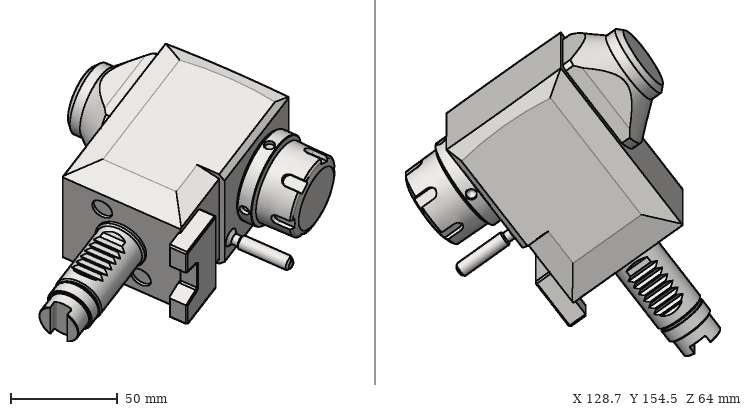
import cadquery as cq
import math

BODY_HALF_X = 32.0
BODY_HALF_Z = 32.0
BODY_BACK_Y = 96.0
STEP_OUT = 3.0
STEP_START_Y = 36.0
SIDE_BEVEL_RUN = 12.0
SIDE_BEVEL_ANGLE = 15
FRONT_BEVEL_RUN = 16.7
FRONT_BEVEL_ANGLE = 11.5
BACK_ARC_RADIUS = 166.9
BACK_ARC_CENTRE_X = 6.0
BACK_ARC_PEAK_Y = 90.0
BACK_BEVEL_ANGLE = 18

SPINDLE_Y = 70.0
PAD_X = BODY_HALF_X + STEP_OUT

CAP_END_X = -60.9
CAP_NOSE_RADIUS = 18.4
CAP_NOSE_CHAMFER = 2.8
CAP_CONE_X = -52.7
CAP_RIM_X = -36.5
CAP_RIM_RADIUS = 32.0
CAP_HALF_Z = 23.2
CAP_TAPER_X = -39.1
CAP_TAPER_ANGLE = 15
CAP_TOP_Y = 94.5
CAP_CORNER = 2.3

NECK_RADIUS = 22.5
COLLAR_X = 35.7
COLLAR_END_X = 43.4
COLLAR_RADIUS = 23.5
COLLAR_CHAMFER = 0.3
GROOVE_RADIUS = 16.7
NUT_X = 44.5
NUT_END_X = 64.9
NUT_RADIUS = 21.2
NUT_RIM_X = 62.5
NUT_RIM_RADIUS = 20.9
NUT_LIP_X = 63.5
NUT_LIP_RADIUS = 19.8
NUT_FACE_RADIUS = 16.4
NUT_SLOT_COUNT = 6
NUT_SLOT_WIDTH = 6.0
NUT_SLOT_FLOOR_RADIUS = 18.4
NUT_SLOT_START_X = 52.7
SET_SCREW_COUNT = 4
SET_SCREW_RADIUS = 2.6
SET_SCREW_DEPTH = 2.3

PIN_Y = 41.7
PIN_Z = -17.1
PIN_RADIUS = 3.5
PIN_BASE_RADIUS = 4.6
PIN_NECK_RADIUS = 2.6
PIN_NECK_X = 36.8
PIN_BODY_X = 40.2
PIN_END_X = 67.8
PIN_TIP_CHAMFER = 1.1
PIN_BEVEL = 2.3
PIN_OUTLET_RADIUS = 1.0
PIN_OUTLET_DEPTH = 3.1
PIN_CHAMFER = 0.8

FORK_X = 31.2
FORK_END_X = 41.1
FORK_TOP_Y = 18.0
FORK_TIP_Y = -9.5
FORK_HALF_Z = 25.8
FORK_GAP_TIP = 11.6
FORK_GAP_ROOT = 9.6
FORK_WEB_Y = 0.5
FORK_CORNER = 1.0
FORK_CHAMFER = 0.6

SHANK_RADIUS = 12.5
SHANK_END_Y = -58.5
SHANK_FLANGE_RADIUS = 13.5
SHANK_FLANGE_Y = -1.4
SHANK_FLANGE_CHAMFER = 1.0
SHANK_LAND_Y = -40.8
SHANK_CHAMFER = 0.8
SHANK_GROOVE_RADIUS = 11.1
SHANK_GROOVE_WIDTH = 1.4
RING_RADIUS = 12.0
RING_END_Y = -48.7
RING_CHAMFER = 0.5
TANG_RADIUS = 10.7
TANG_CHAMFER = 0.3
TANG_SLOT_WIDTH = 9.3
TANG_SLOT_DEPTH = 4.2
TANG_SLOT_FILLET = 0.6
RACK_HEIGHT = 11.0
RACK_START_Y = -6.8
RACK_END_Y = -34.1
RACK_TOOTH_COUNT = 6
RACK_PITCH = 4.0
RACK_FIRST_ROOT_Y = -11.6
RACK_TOOTH_DEPTH = 1.7
RACK_OVERSHOOT = 0.8

FACE_HOLE_X = 10.5
FACE_HOLE_Z = 18.2
FACE_HOLE_RADIUS = 5.4
FACE_HOLE_DEPTH = 1.5

CLEAR = 7.7


def tan_deg(angle):
    return math.tan(math.radians(angle))


def along_x(points, y, z=0):
    """Turn an (x, radius) outline about the line through (y, z) along X."""
    turned = cq.Workplane("XY").polyline(points).close().revolve(360, (0, 0, 0), (1, 0, 0))
    return turned.translate((0, y, z))


def prism_x(points, start_x, end_x):
    """Extrude a (y, z) outline from start_x to end_x."""
    return cq.Workplane("YZ", origin=(start_x, 0, 0)).polyline(points).close().extrude(end_x - start_x)


def prism_y(points, start_y, end_y):
    """Extrude an (x, z) outline from start_y to end_y."""
    return cq.Workplane("XZ", origin=(0, start_y, 0)).polyline(points).close().extrude(start_y - end_y)


def on_both_z_sides(shape):
    return shape.union(shape.mirror("XY"))


def bevel_outline(edge, outward, run, angle):
    """Outline of the wedge removed from a top edge at 'edge'; 'outward' is +1 or -1."""
    slope = tan_deg(angle)
    inner = edge - outward * run
    outer = edge + outward * CLEAR
    return [
        (inner, BODY_HALF_Z),
        (outer, BODY_HALF_Z - (run + CLEAR) * slope),
        (outer, BODY_HALF_Z + CLEAR),
        (inner, BODY_HALF_Z + CLEAR),
    ]


def back_bevel_envelope():
    """Double cone about a Z axis whose flanks bevel the top and bottom back edges."""
    waist = BACK_ARC_RADIUS + BODY_HALF_Z / tan_deg(BACK_BEVEL_ANGLE)
    outline = [
        (0, -BODY_HALF_Z),
        (BACK_ARC_RADIUS, -BODY_HALF_Z),
        (waist, 0),
        (BACK_ARC_RADIUS, BODY_HALF_Z),
        (0, BODY_HALF_Z),
    ]
    cone = cq.Workplane("XZ").polyline(outline).close().revolve(360, (0, 0, 0), (0, 1, 0))
    return cone.translate((BACK_ARC_CENTRE_X, BACK_ARC_PEAK_Y - BACK_ARC_RADIUS, 0))


def housing():
    block = cq.Workplane("XY").box(
        2 * BODY_HALF_X, BODY_BACK_Y, 2 * BODY_HALF_Z, centered=(True, False, True)
    )
    pad = prism_y(
        [
            (0, -BODY_HALF_Z),
            (BODY_HALF_X, -BODY_HALF_Z),
            (PAD_X, STEP_OUT - BODY_HALF_Z),
            (PAD_X, BODY_HALF_Z - STEP_OUT),
            (BODY_HALF_X, BODY_HALF_Z),
            (0, BODY_HALF_Z),
        ],
        STEP_START_Y,
        BODY_BACK_Y,
    )
    left = prism_y(
        bevel_outline(-BODY_HALF_X, -1, SIDE_BEVEL_RUN, SIDE_BEVEL_ANGLE), -CLEAR, BODY_BACK_Y + CLEAR
    )
    right = prism_y(bevel_outline(BODY_HALF_X, 1, SIDE_BEVEL_RUN, SIDE_BEVEL_ANGLE), -CLEAR, STEP_START_Y)
    front = prism_x(bevel_outline(0, -1, FRONT_BEVEL_RUN, FRONT_BEVEL_ANGLE), -PAD_X - CLEAR, PAD_X + CLEAR)
    body = block.union(pad)
    for bevel in (left, right, front):
        body = body.cut(on_both_z_sides(bevel))
    return body.intersect(back_bevel_envelope())


def face_holes():
    spots = [(-FACE_HOLE_X, FACE_HOLE_Z), (FACE_HOLE_X, -FACE_HOLE_Z)]
    return cq.Workplane("XZ").pushPoints(spots).circle(FACE_HOLE_RADIUS).extrude(-FACE_HOLE_DEPTH)


def cap():
    hood = along_x(
        [
            (CAP_CONE_X, 0),
            (CAP_CONE_X, CAP_NOSE_RADIUS),
            (CAP_RIM_X, CAP_RIM_RADIUS),
            (-BODY_HALF_X, CAP_RIM_RADIUS),
            (-BODY_HALF_X, 0),
        ],
        SPINDLE_Y,
    )
    low_y = SPINDLE_Y - CAP_RIM_RADIUS - CLEAR
    section = prism_x(
        [
            (low_y, -CAP_HALF_Z),
            (CAP_TOP_Y - CAP_CORNER, -CAP_HALF_Z),
            (CAP_TOP_Y, CAP_CORNER - CAP_HALF_Z),
            (CAP_TOP_Y, CAP_HALF_Z - CAP_CORNER),
            (CAP_TOP_Y - CAP_CORNER, CAP_HALF_Z),
            (low_y, CAP_HALF_Z),
        ],
        CAP_CONE_X,
        -BODY_HALF_X,
    )
    tip_half_z = CAP_HALF_Z - (CAP_TAPER_X - CAP_CONE_X) * tan_deg(CAP_TAPER_ANGLE)
    taper = prism_y(
        [
            (CAP_CONE_X, -tip_half_z),
            (CAP_TAPER_X, -CAP_HALF_Z),
            (-BODY_HALF_X, -CAP_HALF_Z),
            (-BODY_HALF_X, CAP_HALF_Z),
            (CAP_TAPER_X, CAP_HALF_Z),
            (CAP_CONE_X, tip_half_z),
        ],
        low_y,
        BODY_BACK_Y,
    )
    nose = along_x(
        [
            (CAP_END_X, 0),
            (CAP_END_X, CAP_NOSE_RADIUS - CAP_NOSE_CHAMFER),
            (CAP_END_X + CAP_NOSE_CHAMFER, CAP_NOSE_RADIUS),
            (CAP_CONE_X, CAP_NOSE_RADIUS),
            (CAP_CONE_X, 0),
        ],
        SPINDLE_Y,
    )
    return hood.intersect(section).intersect(taper).union(nose)


def nut_slots():
    half_width = NUT_SLOT_WIDTH / 2
    slot = (
        cq.Workplane("XY", origin=(0, 0, NUT_SLOT_FLOOR_RADIUS))
        .moveTo(NUT_END_X + CLEAR, -half_width)
        .lineTo(NUT_SLOT_START_X + half_width, -half_width)
        .threePointArc((NUT_SLOT_START_X, 0), (NUT_SLOT_START_X + half_width, half_width))
        .lineTo(NUT_END_X + CLEAR, half_width)
        .close()
        .extrude(CLEAR)
    )
    slots = cq.Workplane("XY")
    for index in range(NUT_SLOT_COUNT):
        slots = slots.add(slot.rotate((0, 0, 0), (1, 0, 0), 90 + index * 360 / NUT_SLOT_COUNT))
    return slots.translate((0, SPINDLE_Y, 0))


def set_screw_holes():
    floor = COLLAR_RADIUS - SET_SCREW_DEPTH
    middle_x = (COLLAR_X + COLLAR_END_X) / 2
    hole = (
        cq.Workplane("XZ")
        .polyline(
            [
                (0, floor - SET_SCREW_RADIUS),
                (SET_SCREW_RADIUS, floor),
                (SET_SCREW_RADIUS, COLLAR_RADIUS + CLEAR),
                (0, COLLAR_RADIUS + CLEAR),
            ]
        )
        .close()
        .revolve(360, (0, 0, 0), (0, 1, 0))
    )
    holes = cq.Workplane("XY")
    for index in range(SET_SCREW_COUNT):
        holes = holes.add(hole.rotate((0, 0, 0), (1, 0, 0), index * 360 / SET_SCREW_COUNT))
    return holes.translate((middle_x, SPINDLE_Y, 0))


def spindle():
    turned = along_x(
        [
            (0, 0),
            (0, NECK_RADIUS),
            (COLLAR_X, NECK_RADIUS),
            (COLLAR_X, COLLAR_RADIUS - COLLAR_CHAMFER),
            (COLLAR_X + COLLAR_CHAMFER, COLLAR_RADIUS),
            (COLLAR_END_X - COLLAR_CHAMFER, COLLAR_RADIUS),
            (COLLAR_END_X, COLLAR_RADIUS - COLLAR_CHAMFER),
            (COLLAR_END_X, GROOVE_RADIUS),
            (NUT_X, GROOVE_RADIUS),
            (NUT_X, NUT_RADIUS),
            (NUT_RIM_X, NUT_RIM_RADIUS),
            (NUT_LIP_X, NUT_LIP_RADIUS),
            (NUT_END_X, NUT_FACE_RADIUS),
            (NUT_END_X, 0),
        ],
        SPINDLE_Y,
    )
    for cutter in nut_slots().vals() + set_screw_holes().vals():
        turned = turned.cut(cq.Workplane(cutter))
    return turned


def pin():
    turned = along_x(
        [
            (0, 0),
            (0, PIN_BASE_RADIUS),
            (PAD_X, PIN_BASE_RADIUS),
            (PIN_NECK_X, PIN_NECK_RADIUS),
            (PIN_BODY_X, PIN_NECK_RADIUS),
            (PIN_BODY_X + PIN_CHAMFER, PIN_RADIUS),
            (PIN_END_X - PIN_TIP_CHAMFER, PIN_RADIUS),
            (PIN_END_X, PIN_RADIUS - PIN_TIP_CHAMFER),
            (PIN_END_X, 0),
        ],
        0,
    )
    bevel = (
        cq.Workplane("XY")
        .moveTo(PIN_END_X - PIN_BEVEL, PIN_RADIUS)
        .lineTo(PIN_END_X, PIN_RADIUS)
        .lineTo(PIN_END_X, PIN_RADIUS - PIN_BEVEL)
        .close()
        .extrude(PIN_RADIUS, both=True)
    )
    half_bevel = PIN_BEVEL / 2
    outlet_plane = cq.Plane(
        origin=(PIN_END_X - half_bevel, PIN_RADIUS - half_bevel, 0), xDir=(0, 0, 1), normal=(-1, -1, 0)
    )
    outlet = cq.Workplane(outlet_plane).circle(PIN_OUTLET_RADIUS).extrude(PIN_OUTLET_DEPTH)
    tipped = turned.cut(bevel).cut(outlet)
    aim = math.degrees(math.atan2(-PIN_Z, SPINDLE_Y - PIN_Y))
    return tipped.rotate((0, 0, 0), (1, 0, 0), aim).translate((0, PIN_Y, PIN_Z))


def fork():
    root_y = FORK_WEB_Y - FORK_CORNER
    web_half_z = FORK_GAP_ROOT - FORK_CORNER
    plate = prism_x(
        [
            (FORK_TOP_Y, -FORK_HALF_Z),
            (FORK_TOP_Y, FORK_HALF_Z),
            (FORK_TIP_Y, FORK_HALF_Z),
            (FORK_TIP_Y, FORK_GAP_TIP),
            (root_y, FORK_GAP_ROOT),
            (FORK_WEB_Y, web_half_z),
            (FORK_WEB_Y, -web_half_z),
            (root_y, -FORK_GAP_ROOT),
            (FORK_TIP_Y, -FORK_GAP_TIP),
            (FORK_TIP_Y, -FORK_HALF_Z),
        ],
        FORK_X,
        FORK_END_X,
    )
    plate = plate.edges("|X and (>Z or <Z)").chamfer(FORK_CORNER)
    plate = plate.faces(">X").chamfer(FORK_CHAMFER)
    return plate.faces("<X").edges("|Z and <Y").chamfer(FORK_CHAMFER)


def rack_cut():
    """Flat with sloped ends and V grooves, taken off the +Z side of the shank."""
    height = SHANK_RADIUS + RACK_OVERSHOOT
    rise = height - RACK_HEIGHT
    cutter = prism_x(
        [
            (RACK_START_Y, RACK_HEIGHT),
            (RACK_END_Y, RACK_HEIGHT),
            (RACK_END_Y - rise, height),
            (RACK_START_Y + rise, height),
        ],
        -SHANK_RADIUS,
        SHANK_RADIUS,
    )
    for index in range(RACK_TOOTH_COUNT):
        root_y = RACK_FIRST_ROOT_Y - index * RACK_PITCH
        groove = prism_x(
            [
                (root_y, RACK_HEIGHT - RACK_TOOTH_DEPTH),
                (root_y + RACK_TOOTH_DEPTH, RACK_HEIGHT),
                (root_y - RACK_TOOTH_DEPTH, RACK_HEIGHT),
            ],
            -SHANK_RADIUS,
            SHANK_RADIUS,
        )
        cutter = cutter.union(groove)
    return cutter


def tang_slot():
    slot = cq.Workplane("XY").box(
        TANG_SLOT_WIDTH, TANG_SLOT_DEPTH + CLEAR, 2 * SHANK_RADIUS, centered=(True, False, True)
    )
    slot = slot.edges("|Z and >Y").fillet(TANG_SLOT_FILLET)
    return slot.translate((0, SHANK_END_Y - CLEAR, 0))


def shank():
    ring_start = SHANK_LAND_Y - SHANK_GROOVE_WIDTH
    outline = [
        (0, CLEAR),
        (SHANK_FLANGE_RADIUS, CLEAR),
        (SHANK_FLANGE_RADIUS, SHANK_FLANGE_Y),
        (SHANK_RADIUS, SHANK_FLANGE_Y - SHANK_FLANGE_CHAMFER),
        (SHANK_RADIUS, SHANK_LAND_Y + SHANK_CHAMFER),
        (SHANK_RADIUS - SHANK_CHAMFER, SHANK_LAND_Y),
        (SHANK_GROOVE_RADIUS, SHANK_LAND_Y),
        (SHANK_GROOVE_RADIUS, ring_start),
        (RING_RADIUS, ring_start),
        (RING_RADIUS, RING_END_Y + RING_CHAMFER),
        (RING_RADIUS - RING_CHAMFER, RING_END_Y),
        (TANG_RADIUS, RING_END_Y),
        (TANG_RADIUS, SHANK_END_Y + TANG_CHAMFER),
        (TANG_RADIUS - TANG_CHAMFER, SHANK_END_Y),
        (0, SHANK_END_Y),
    ]
    turned = cq.Workplane("XY").polyline(outline).close().revolve(360, (0, 0, 0), (0, 1, 0))
    rack = rack_cut()
    return turned.cut(rack).cut(rack.mirror("XY")).cut(tang_slot())


result = housing().cut(face_holes())
for feature in (cap(), spindle(), pin(), fork(), shank()):
    result = result.union(feature)